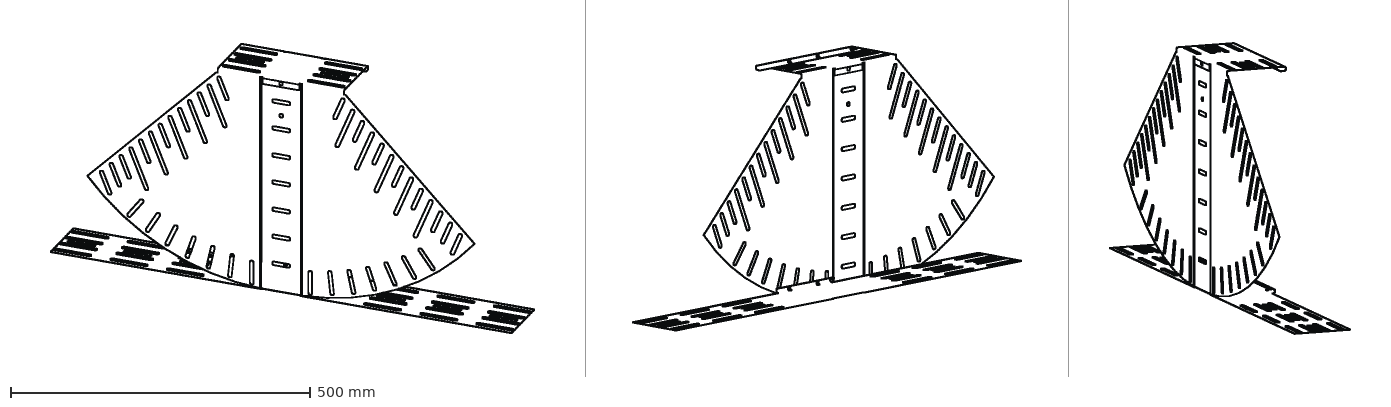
import cadquery as cq
import math

RAIL_LENGTH = 834.0
DEPTH = 107.0
HEIGHT = 395.0
SHEET = 1.0
BEND_RADIUS = 2.5
FRONT_Y = -DEPTH / 2
BACK_Y = DEPTH / 2
STRIP_FRONT_Y = FRONT_Y + SHEET

INNER_HALF_WIDTH = 114.0
LIP_RADIUS = 4.0
LIP_END_Y = 43.0
LIP_SLIT_X = 34.0
LIP_SLIT_WIDTH = 5.0

OUTER_DEPTH = 100.0
OUTER_LIP_HALF_WIDTH = 65.0

STRIP_HALF_WIDTH = 36.0
WINDOW_HALF_WIDTH = 38.0
TAB_HALF_WIDTH = 33.0
TAB_BOTTOM_Z = 380.0
WINDOW_TOP_Z = HEIGHT - BEND_RADIUS
STRIP_TOP_Z = HEIGHT - 2 * BEND_RADIUS

FAN_HALF_WIDTH = 350.0
FAN_CORNER_Z = 153.5
FAN_BOTTOM_Z = 2.0
FAN_TOP_Z = 387.0
FAN_TOP_HALF_WIDTH = FAN_HALF_WIDTH - (FAN_TOP_Z - FAN_CORNER_Z)
FAN_RISE = FAN_CORNER_Z - FAN_BOTTOM_Z
WING_CENTER_X = 25.0
WING_RUN = FAN_HALF_WIDTH - WING_CENTER_X
WING_RADIUS = (WING_RUN**2 + FAN_RISE**2) / (2 * FAN_RISE)

CUTTER_DEPTH = 8 * SHEET
SLOT_WIDTH = 7.0
HOLE_DIAMETER = 7.0
TAB_HOLE_Z = 387.0
STRIP_HOLE_Z = 327.0
STRIP_SLOT_LENGTH = 32.5
STRIP_SLOT_COUNT = 7
STRIP_SLOT_PITCH = 50.0
STRIP_SLOT_FIRST_Z = 52.0

SIDE_SLOT_COUNT = 13
SIDE_SLOT_PITCH = 25.0
SIDE_SLOT_TILT = 22.5
SIDE_SLOT_SHORT = 44.0
SIDE_SLOT_LONG = 80.0
LONG_SIDE_SLOTS = (1, 3, 5, 7, 9)
SIDE_SLOT_FIRST_X = 113.5
SIDE_SLOT_FIRST_Z = 379.5

ARC_SLOT_COUNT = 7
ARC_SLOT_LENGTH = 44.0
ARC_SLOT_RADIUS = 454.0
ARC_SLOT_CENTER_Z = 479.0
ARC_SLOT_FIRST_ANGLE = 6.7
ARC_SLOT_PITCH_ANGLE = 4.8
ARC_SLOT_TILT_STEP = 6.2

RAIL_SLOT_LENGTH = 67.0
RAIL_SLOT_PITCH_X = 102.0
RAIL_SLOT_FIRST_X = 77.0
RAIL_SLOT_PITCH_Y = 25.0
RAIL_SLOT_ROWS = 4
RAIL_SLOT_CENTER_Y = STRIP_FRONT_Y + OUTER_DEPTH / 2
OUTER_SLOT_GROUPS = 3

PERFORATION_COUNT = 7
PERFORATION_PITCH = 7.5
PERFORATION_WIDTH = 3.75
PERFORATION_HEIGHT = 7.5

DIAGONAL = math.sqrt(0.5)


def block(x0, x1, y0, y1, z0, z1):
    """Box between two corners."""
    return cq.Workplane("XY").box(x1 - x0, y1 - y0, z1 - z0, centered=False).translate((x0, y0, z0))


def extrude_along_x(section, half_width):
    """Extrude a YZ section symmetrically about X = 0."""
    return section.extrude(half_width, both=True)


def at_bottom(solid):
    """Mirror a shape from the inner rail at the top to the outer rail at the bottom."""
    return solid.mirror("XY", (0, 0, HEIGHT / 2))


def bend(front_y, half_width):
    """Quarter bend between a vertical web at front_y and the top flange, with the flange up to Y = 0."""
    inner = BEND_RADIUS - SHEET
    center_y = front_y + BEND_RADIUS
    center_z = HEIGHT - BEND_RADIUS
    section = (
        cq.Workplane("YZ")
        .moveTo(front_y, center_z)
        .radiusArc((center_y, HEIGHT), BEND_RADIUS)
        .lineTo(0, HEIGHT)
        .lineTo(0, HEIGHT - SHEET)
        .lineTo(center_y, HEIGHT - SHEET)
        .radiusArc((front_y + SHEET, center_z), -inner)
        .close()
    )
    return extrude_along_x(section, half_width)


def lip(half_width):
    """Back half of the top flange, rolled down and forward into a lip at its rear edge."""
    inner = LIP_RADIUS - SHEET
    center_y = BACK_Y - LIP_RADIUS
    center_z = HEIGHT - LIP_RADIUS
    section = (
        cq.Workplane("YZ")
        .moveTo(0, HEIGHT)
        .lineTo(center_y, HEIGHT)
        .threePointArc((BACK_Y, center_z), (center_y, center_z - LIP_RADIUS))
        .lineTo(LIP_END_Y, center_z - LIP_RADIUS)
        .lineTo(LIP_END_Y, center_z - inner)
        .lineTo(center_y, center_z - inner)
        .threePointArc((center_y + inner, center_z), (center_y, center_z + inner))
        .lineTo(0, HEIGHT - SHEET)
        .close()
    )
    rolled = extrude_along_x(section, half_width)
    for side in (-1, 1):
        x = side * LIP_SLIT_X
        slit = block(
            x - LIP_SLIT_WIDTH / 2, x + LIP_SLIT_WIDTH / 2,
            BACK_Y - LIP_RADIUS, BACK_Y, HEIGHT - 2 * LIP_RADIUS, HEIGHT,
        )
        rolled = rolled.cut(slit)
    return rolled


def web_slot(x, z, length, angle):
    """Round-ended cutter through the vertical sheets; angle is measured from +X toward +Z."""
    return (
        cq.Workplane("XZ", origin=(x, FRONT_Y + CUTTER_DEPTH / 2, z))
        .transformed(rotate=(0, 0, angle))
        .slot2D(length, SLOT_WIDTH)
        .extrude(CUTTER_DEPTH)
    )


def web_hole(z):
    """Round cutter on the centre line through the vertical sheets."""
    return (
        cq.Workplane("XZ", origin=(0, FRONT_Y + CUTTER_DEPTH / 2, z))
        .circle(HOLE_DIAMETER / 2)
        .extrude(CUTTER_DEPTH)
    )


def rail_slot_group(x, z):
    """Cutters of one rail slot group: rows of long slots and a row of narrow perforations."""
    rail = cq.Workplane("XY", origin=(x, RAIL_SLOT_CENTER_Y, z - CUTTER_DEPTH / 2))
    slots = (
        rail.rarray(8, RAIL_SLOT_PITCH_Y, 1, RAIL_SLOT_ROWS)
        .slot2D(RAIL_SLOT_LENGTH, SLOT_WIDTH)
        .extrude(CUTTER_DEPTH)
    )
    perforations = (
        rail.rarray(PERFORATION_PITCH, 8, PERFORATION_COUNT, 1)
        .rect(PERFORATION_WIDTH, PERFORATION_HEIGHT)
        .extrude(CUTTER_DEPTH)
    )
    return slots.add(perforations).combine()


def fan_plate():
    """Flat fan with the window for the strip and the slots along its sides and round edge."""
    plate = (
        cq.Workplane("XZ", origin=(0, STRIP_FRONT_Y, 0))
        .moveTo(-FAN_HALF_WIDTH, FAN_CORNER_Z)
        .radiusArc((-WING_CENTER_X, FAN_BOTTOM_Z), -WING_RADIUS)
        .lineTo(WING_CENTER_X, FAN_BOTTOM_Z)
        .radiusArc((FAN_HALF_WIDTH, FAN_CORNER_Z), -WING_RADIUS)
        .lineTo(FAN_TOP_HALF_WIDTH, FAN_TOP_Z)
        .lineTo(-FAN_TOP_HALF_WIDTH, FAN_TOP_Z)
        .close()
        .extrude(SHEET)
    )
    neck = block(
        -INNER_HALF_WIDTH, INNER_HALF_WIDTH, FRONT_Y, STRIP_FRONT_Y,
        FAN_TOP_Z, HEIGHT - BEND_RADIUS,
    )
    window = block(-WINDOW_HALF_WIDTH, WINDOW_HALF_WIDTH, FRONT_Y, STRIP_FRONT_Y, 0, WINDOW_TOP_Z)
    tab = block(-TAB_HALF_WIDTH, TAB_HALF_WIDTH, FRONT_Y, STRIP_FRONT_Y, TAB_BOTTOM_Z, WINDOW_TOP_Z)
    plate = plate.union(neck).cut(window).union(tab).cut(web_hole(TAB_HOLE_Z))
    for side in (-1, 1):
        for cutter in side_slots(side) + arc_slots(side):
            plate = plate.cut(cutter)
    return plate


def side_slots(side):
    """Slots along one 45 degree side, hung from evenly spaced upper ends."""
    cutters = []
    tilt = math.radians(SIDE_SLOT_TILT)
    for i in range(SIDE_SLOT_COUNT):
        length = SIDE_SLOT_LONG if i in LONG_SIDE_SLOTS else SIDE_SLOT_SHORT
        step = i * SIDE_SLOT_PITCH * DIAGONAL
        x = SIDE_SLOT_FIRST_X + step - length / 2 * math.sin(tilt)
        z = SIDE_SLOT_FIRST_Z - step - length / 2 * math.cos(tilt)
        cutters.append(web_slot(side * x, z, length, 90 - side * SIDE_SLOT_TILT))
    return cutters


def arc_slots(side):
    """Slots on one side along the round edge, tilting more with distance from the middle."""
    cutters = []
    for i in range(ARC_SLOT_COUNT):
        angle = math.radians(ARC_SLOT_FIRST_ANGLE + i * ARC_SLOT_PITCH_ANGLE)
        x = ARC_SLOT_RADIUS * math.sin(angle)
        z = ARC_SLOT_CENTER_Z - ARC_SLOT_RADIUS * math.cos(angle)
        cutters.append(web_slot(side * x, z, ARC_SLOT_LENGTH, 90 + side * i * ARC_SLOT_TILT_STEP))
    return cutters


def make_fan():
    """Fan plate bent at its top into the slotted inner rail with a rolled lip."""
    fan = fan_plate().union(bend(FRONT_Y, INNER_HALF_WIDTH)).union(lip(INNER_HALF_WIDTH))
    for side in (-1, 1):
        fan = fan.cut(rail_slot_group(side * RAIL_SLOT_FIRST_X, HEIGHT))
    return fan


def make_outer_rail():
    """Long slotted outer rail with a rolled lip in its middle, bent up into the central strip."""
    bend_end_y = STRIP_FRONT_Y + BEND_RADIUS
    rail = block(
        -RAIL_LENGTH / 2, RAIL_LENGTH / 2,
        STRIP_FRONT_Y, STRIP_FRONT_Y + OUTER_DEPTH, 0, SHEET,
    )
    rail = rail.cut(block(-STRIP_HALF_WIDTH, STRIP_HALF_WIDTH, STRIP_FRONT_Y, bend_end_y, 0, SHEET))
    rail = rail.cut(block(-OUTER_LIP_HALF_WIDTH, OUTER_LIP_HALF_WIDTH, 0, BACK_Y, 0, SHEET))
    for side in (-1, 1):
        for i in range(1, OUTER_SLOT_GROUPS + 1):
            x = RAIL_SLOT_FIRST_X + i * RAIL_SLOT_PITCH_X
            rail = rail.cut(rail_slot_group(side * x, 0))

    strip = block(
        -STRIP_HALF_WIDTH, STRIP_HALF_WIDTH, STRIP_FRONT_Y, STRIP_FRONT_Y + SHEET,
        BEND_RADIUS, STRIP_TOP_Z,
    )
    for i in range(STRIP_SLOT_COUNT):
        z = STRIP_SLOT_FIRST_Z + i * STRIP_SLOT_PITCH
        strip = strip.cut(web_slot(0, z, STRIP_SLOT_LENGTH, 0))
    strip = strip.cut(web_hole(STRIP_HOLE_Z))

    bottom_bend = at_bottom(bend(STRIP_FRONT_Y, STRIP_HALF_WIDTH))
    return rail.union(at_bottom(lip(OUTER_LIP_HALF_WIDTH))).union(bottom_bend).union(strip)


fan = make_fan()
outer_rail = make_outer_rail()

result = cq.Compound.makeCompound([fan.solids().val(), outer_rail.solids().val()])